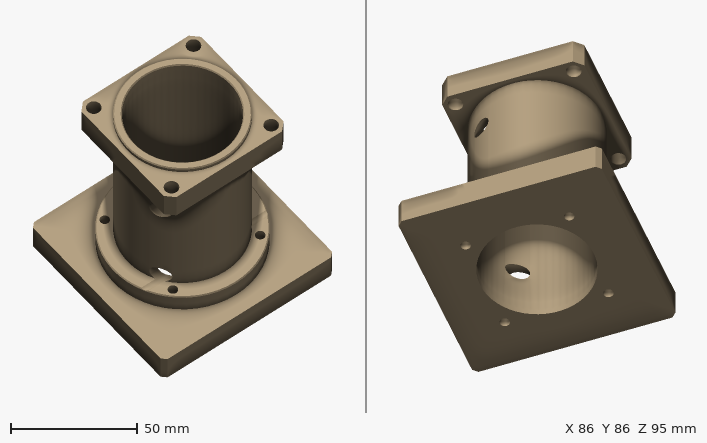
import cadquery as cq
import math

total_height = 95.0
plate_thickness = 12.0
collar_top = 20.0
flange_thickness = 12.0
spigot_height = 2.0
flange_top = total_height - spigot_height
flange_bottom = flange_top - flange_thickness

base_side = 86.0
base_corner_chamfer = 2.0
flange_side = 60.0
flange_corner_chamfer = 3.5

tube_diameter = 55.0
collar_diameter = 69.0
bore_diameter = 48.0
edge_chamfer = 0.5

flange_hole_diameter = 6.2
flange_hole_spacing = 50.0
collar_hole_diameter = 4.2
collar_bolt_circle_radius = 31.0
collar_hole_spacing = collar_bolt_circle_radius * math.sqrt(2)

cross_hole_diameter = 8.0
cross_hole_x = 15.0
lower_cross_hole_z = 23.75
cross_hole_pitch = 42.0
cross_hole_count = 2


def square_plate(side, corner_chamfer, bottom, thickness):
    plate = cq.Workplane("XY", origin=(0, 0, bottom)).rect(side, side).extrude(thickness)
    return plate.edges("|Z").chamfer(corner_chamfer)


def cylinder(diameter, bottom, top):
    return cq.Workplane("XY", origin=(0, 0, bottom)).circle(diameter / 2).extrude(top - bottom)


def square_hole_pattern(spacing, diameter, bottom, top):
    corners = cq.Workplane("XY", origin=(0, 0, bottom)).rect(spacing, spacing, forConstruction=True)
    return corners.vertices().circle(diameter / 2).extrude(top - bottom)


def cross_hole(z):
    start = cq.Workplane("XZ", origin=(cross_hole_x, 0, z))
    return start.circle(cross_hole_diameter / 2).extrude(base_side, both=True)


base = square_plate(base_side, base_corner_chamfer, 0, plate_thickness)
collar = cylinder(collar_diameter, 0, collar_top).faces(">Z").edges().chamfer(edge_chamfer)
tube = cylinder(tube_diameter, 0, total_height).faces(">Z").edges().chamfer(edge_chamfer)
flange = square_plate(flange_side, flange_corner_chamfer, flange_bottom, flange_thickness)
body = base.union(collar).union(tube).union(flange)

bore = cylinder(bore_diameter, 0, total_height)
body = body.cut(bore)
body = body.faces(">Z").edges(cq.selectors.RadiusNthSelector(0)).chamfer(edge_chamfer)

body = body.cut(square_hole_pattern(flange_hole_spacing, flange_hole_diameter, flange_bottom, flange_top))
body = body.cut(square_hole_pattern(collar_hole_spacing, collar_hole_diameter, 0, collar_top))

for level in range(cross_hole_count):
    body = body.cut(cross_hole(lower_cross_hole_z + level * cross_hole_pitch))

result = body